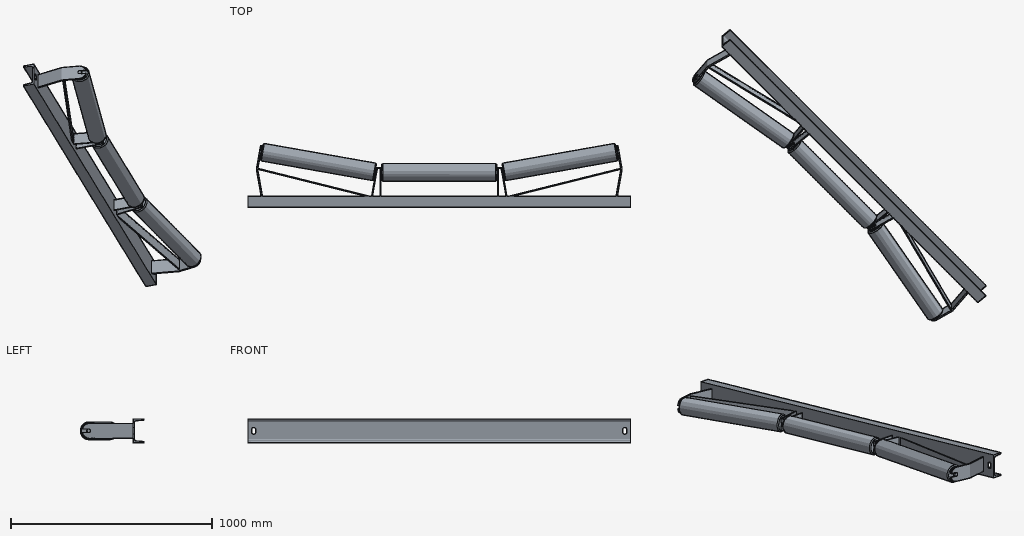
import cadquery as cq
import math

beam_length = 1900.0
beam_height = 120.0
beam_depth = 55.0
web_thickness = 7.0
flange_thickness = 10.0
flange_slope = 0.08
root_radius = 9.0
tip_radius = 4.0
mount_slot_width = 19.0
mount_slot_height = 32.0
mount_slot_inset = 28.0

total_depth = 317.0
trough_angle = 10.0
roller_diameter = 90.0
roller_length = 572.0
roller_chamfer = 5.0
middle_axis_y = 173.0
outer_roller_x = 882.0
shaft_diameter = 19.0

inner_gap = 2.8
outer_gap = 4.0
outer_width = 75.0
inner_width = 60.0
inner_plate = 5.0
outer_plate = 8.0
inner_top_y = 198.0
bend_y = 188.0
bend_radius = 10.0
head_drop = 4.0
brace_thickness = 5.0
brace_width = 57.0
brace_top_y = 192.0
brace_angle = 14.0

tilt_sin = math.sin(math.radians(trough_angle))
tilt_cos = math.cos(math.radians(trough_angle))
tilt_tan = math.tan(math.radians(trough_angle))

roller_radius = roller_diameter / 2
inner_reach = inner_gap + inner_plate
outer_reach = outer_gap + outer_plate
outer_end_y = total_depth - roller_radius * tilt_cos + roller_chamfer * tilt_sin
outer_centre_x = outer_roller_x - roller_length / 2 * tilt_cos
outer_centre_y = outer_end_y - roller_length / 2 * tilt_sin


def mirrored(body):
    """The matching body on the -X side."""
    return body.mirror("YZ")


def tilted(body):
    """Move a body built about the middle of a level roller to the +X outer roller."""
    turned = body.rotate((0, 0, 0), (0, 0, 1), trough_angle)
    return turned.translate((outer_centre_x, outer_centre_y, 0))


def upright_plate(outline, width):
    """Plate with the given XY outline, centred on Z = 0."""
    return cq.Workplane("XY", origin=(0, 0, -width / 2)).polyline(outline).close().extrude(width)


def edge_near(x, y, z):
    """Selector of the edge whose middle is nearest to a point."""
    return cq.selectors.NearestToPointSelector((x, y, z))


def make_beam():
    half_height = beam_height / 2
    middle_of_flange = beam_depth / 2
    tip_z = half_height - flange_thickness + flange_slope * middle_of_flange
    web_face_y = beam_depth - web_thickness
    root_z = half_height - flange_thickness - flange_slope * (web_face_y - middle_of_flange)
    outline = [
        (0, half_height),
        (beam_depth, half_height),
        (beam_depth, -half_height),
        (0, -half_height),
        (0, -tip_z),
        (web_face_y, -root_z),
        (web_face_y, root_z),
        (0, tip_z),
    ]
    beam_end = cq.Workplane("YZ", origin=(-beam_length / 2, 0, 0))
    beam = beam_end.polyline(outline).close().extrude(beam_length)
    for side in (1, -1):
        beam = beam.edges(edge_near(0, web_face_y, side * root_z)).fillet(root_radius)
        beam = beam.edges(edge_near(0, 0, side * tip_z)).fillet(tip_radius)
    slot_x = beam_length / 2 - mount_slot_inset
    slots = (
        cq.Workplane("XZ")
        .pushPoints([(-slot_x, 0), (slot_x, 0)])
        .slot2D(mount_slot_height, mount_slot_width, 90)
        .extrude(-beam_depth)
    )
    return beam.cut(slots)


def make_roller(minus_reach, plus_reach):
    """Level roller about the origin; its shaft sticks out this far at the -X and +X ends."""
    shell = (
        cq.Workplane("YZ", origin=(-roller_length / 2, 0, 0))
        .circle(roller_radius)
        .extrude(roller_length)
        .faces("<X or >X")
        .chamfer(roller_chamfer)
    )
    shaft = (
        cq.Workplane("YZ", origin=(-roller_length / 2 - minus_reach, 0, 0))
        .circle(shaft_diameter / 2)
        .extrude(minus_reach + roller_length + plus_reach)
    )
    return shell.union(shaft)


def make_shaft_slot(reach):
    """Cutter for a slot open toward +Y that seats the +X shaft end of a level roller about the origin."""
    start = cq.Workplane("YZ", origin=(roller_length / 2, 0, 0))
    seat = start.circle(shaft_diameter / 2).extrude(reach)
    opening = start.center(roller_radius / 2, 0).rect(roller_radius, shaft_diameter).extrude(reach)
    return seat.union(opening)


outer_plate_offset = outer_gap + outer_plate / 2
outer_shaft_x = outer_roller_x + outer_plate_offset * tilt_cos
outer_shaft_y = outer_end_y + outer_plate_offset * tilt_sin
bend_x = outer_shaft_x + (outer_shaft_y - bend_y) * tilt_tan


def make_inner_bracket():
    """Folded bracket between the middle roller and the +X outer roller."""
    straight_x = roller_length / 2 + inner_gap
    near_end = -roller_length / 2 - inner_gap

    def tilted_x(distance, y):
        """X, at the given Y, on the cross plane this far from the middle of the outer roller."""
        axis_x = outer_centre_x + distance * tilt_cos
        axis_y = outer_centre_y + distance * tilt_sin
        return axis_x - (y - axis_y) * tilt_tan

    under_y = inner_top_y - inner_plate
    gap_face = near_end - inner_plate
    outline = [
        (straight_x, beam_depth),
        (straight_x, inner_top_y),
        (tilted_x(near_end, inner_top_y), inner_top_y),
        (tilted_x(near_end, beam_depth), beam_depth),
        (tilted_x(gap_face, beam_depth), beam_depth),
        (tilted_x(gap_face, under_y), under_y),
        (straight_x + inner_plate, under_y),
        (straight_x + inner_plate, beam_depth),
    ]
    bracket = upright_plate(outline, inner_width)
    middle_slot = make_shaft_slot(inner_reach).translate((0, middle_axis_y, 0))
    outer_slot = tilted(make_shaft_slot(inner_reach).mirror("YZ"))
    return bracket.cut(middle_slot).cut(outer_slot)


def make_outer_bracket():
    """Bent plate at the outer end of the +X outer roller, with a round slotted head."""
    half = outer_plate / 2 / tilt_cos
    head_radius = outer_width / 2
    head_rise = outer_shaft_y - bend_y + (head_radius - head_drop) * tilt_cos
    top_x = bend_x - head_rise * tilt_tan
    top_y = bend_y + head_rise
    base_x = bend_x - (bend_y - beam_depth) * tilt_tan
    outline = [
        (base_x - half, beam_depth),
        (base_x + half, beam_depth),
        (bend_x + half, bend_y),
        (top_x + outer_plate / 2 * tilt_cos, top_y + outer_plate / 2 * tilt_sin),
        (top_x - outer_plate / 2 * tilt_cos, top_y - outer_plate / 2 * tilt_sin),
        (bend_x - half, bend_y),
    ]
    bracket = upright_plate(outline, outer_width)
    bracket = bracket.edges(edge_near(bend_x - half, bend_y, 0)).fillet(bend_radius)
    bracket = bracket.edges(edge_near(bend_x + half, bend_y, 0)).fillet(bend_radius + outer_plate)
    head_plane = cq.Workplane("YZ", origin=(roller_length / 2 + outer_gap, -head_drop, 0))
    square = head_plane.center(head_radius / 2, 0).rect(head_radius, outer_width).extrude(outer_plate)
    corners = square.cut(head_plane.circle(head_radius).extrude(outer_plate))
    return bracket.cut(tilted(corners)).cut(tilted(make_shaft_slot(outer_reach)))


def make_brace(bracket):
    """Sloping flat bar from the beam up to the bend of the +X outer bracket."""
    slope = math.tan(math.radians(brace_angle))
    half = brace_thickness / 2
    foot_x = bend_x - (brace_top_y - beam_depth) / slope
    run = half / math.sin(math.radians(brace_angle))
    rise = half / math.cos(math.radians(brace_angle))
    outline = [
        (foot_x - run, beam_depth),
        (foot_x + run, beam_depth),
        (bend_x, brace_top_y - rise),
        (bend_x, brace_top_y + rise),
    ]
    return upright_plate(outline, brace_width).cut(bracket)


beam = make_beam()
middle_roller = make_roller(inner_reach, inner_reach).translate((0, middle_axis_y, 0))
outer_roller = tilted(make_roller(inner_reach, outer_reach))
inner_bracket = make_inner_bracket()
outer_bracket = make_outer_bracket()
brace = make_brace(outer_bracket)

bodies = [beam.solids().val(), middle_roller.solids().val()]
for body in (outer_roller, inner_bracket, outer_bracket, brace):
    bodies.append(body.solids().val())
    bodies.append(mirrored(body).solids().val())
result = cq.Compound.makeCompound(bodies)